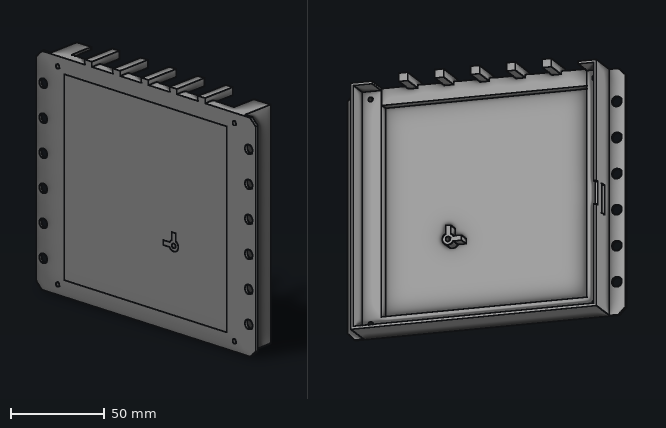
import cadquery as cq

plate_width = 158.0
depth = 22.3
height = 137.0
total_height = 140.0

plate_thickness = 1.7
plate_chamfer = 4.0

box_width = 139.7
wall = 1.6
ledge_level = 8.0

opening_width = 116.9
opening_level = 6.5
recess_floor = 0.5
recess_margin = 9.5

rib_count = 5
rib_pitch = 20.4
rib_width = 5.2
rib_thickness = 4.7

opening_centre = -0.8

mount_diameter = 5.5
mount_spacing = 148.0
mount_pitch = 20.0
mount_rows = 6
mount_first = 18.3

pin_diameter = 2.5
pin_spacing = 127.2
pin_inset = 6.0

slot_front = 9.5
slot_back = 13.6
slot_bottom = 53.9
slot_top = 70.3
notch_depth = 2.4
notch_bottom = 56.7
notch_top = 69.7

post_x = 19.6
post_z = 49.3
post_diameter = 6.5
post_bore = 2.7
web_reach = 7.6
web_thickness = 2.8


def block(x_range, y_range, z_range):
    """Axis-aligned box between the given limits."""
    limits = (x_range, y_range, z_range)
    sizes = [high - low for low, high in limits]
    corner = tuple(low for low, high in limits)
    return cq.Workplane("XY").box(*sizes, centered=False).translate(corner)


def span(width, centre=0.0):
    """Lower and upper limit of a width about a centre."""
    return (centre - width / 2, centre + width / 2)


def cylinders(points, diameter, y_range):
    """Cylinders along Y at the given (x, z) points."""
    start, end = y_range
    sketch = cq.Workplane("XZ", origin=(0, start, 0)).pushPoints(points)
    return sketch.circle(diameter / 2).extrude(start - end)


def shell():
    """Plate and open-backed box with the recess and the top opening."""
    plate = block(span(plate_width), (0, plate_thickness), (0, height))
    plate = plate.edges("|Y").chamfer(plate_chamfer)
    box = block(span(box_width), (0, depth), (0, height))
    cavity = block(span(box_width - 2 * wall), (ledge_level, depth), (wall, height - wall))
    opening_span = span(opening_width, opening_centre)
    recess = block(opening_span, (recess_floor, depth), (recess_margin, height - recess_margin))
    opening = block(opening_span, (opening_level, depth), (height - recess_margin, height))
    return plate.union(box).cut(cavity).cut(recess).cut(opening)


def ribs():
    """Evenly spaced bars that stand above the top wall."""
    bars = cq.Workplane("XY")
    first_x = opening_centre - (rib_count - 1) / 2 * rib_pitch
    for i in range(rib_count):
        x_range = span(rib_width, first_x + i * rib_pitch)
        bars = bars.union(block(x_range, (0, depth), (total_height - rib_thickness, total_height)))
    return bars


def post():
    """Hollow post with its two webs, level with the ledge."""
    y_range = (recess_floor, ledge_level)
    body = cylinders([(post_x, post_z)], post_diameter, y_range)
    left_web = block((post_x - web_reach, post_x), y_range, span(web_thickness, post_z))
    upper_web = block(span(web_thickness, post_x), y_range, (post_z, post_z + web_reach))
    bore = cylinders([(post_x, post_z)], post_bore, y_range)
    return body.union(left_web).union(upper_web).cut(bore)


def plate_holes():
    """Mounting holes and corner pin holes."""
    mount_rows_z = [mount_first + i * mount_pitch for i in range(mount_rows)]
    mount_points = [(x, z) for x in span(mount_spacing) for z in mount_rows_z]
    pin_points = [(x, z) for x in span(pin_spacing) for z in (pin_inset, height - pin_inset)]
    mounts = cylinders(mount_points, mount_diameter, (0, plate_thickness))
    pins = cylinders(pin_points, pin_diameter, (0, ledge_level))
    return mounts.union(pins)


def left_wall_cutouts():
    """Slot and rear-edge notch through the left wall."""
    wall_span = (-box_width / 2, -box_width / 2 + wall)
    slot = block(wall_span, (slot_front, slot_back), (slot_bottom, slot_top))
    notch = block(wall_span, (depth - notch_depth, depth), (notch_bottom, notch_top))
    return slot.union(notch)


result = shell().union(ribs()).union(post()).cut(plate_holes()).cut(left_wall_cutouts())